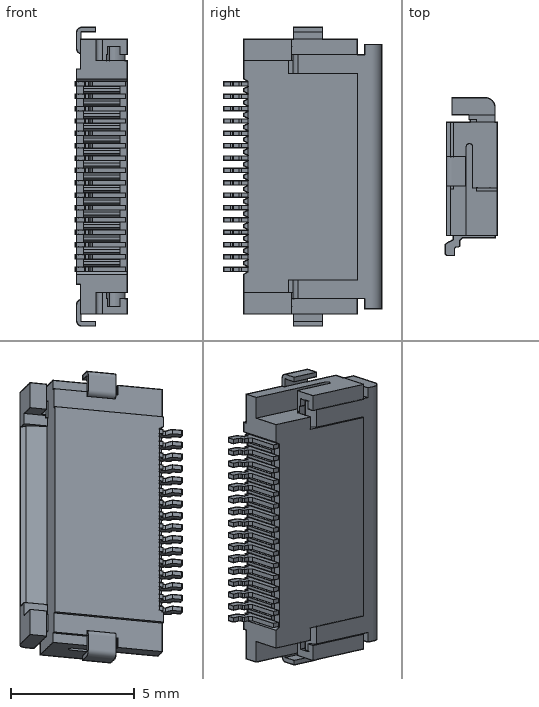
import cadquery as cq
import math


body_thick = 2.06
body_depth = 4.6
body_half = 5.57
shoulder_half = 4.35
shoulder_drop = 0.16
seat_x = 0.29
seat_half = 5.17
seat_start_y = 1.89

ledge_half = 4.7
slot_left = 0.8
slot_right = 1.06
slot_end_y = 3.73
notch_end_y = 1.94

tunnel_left = 1.21
tunnel_start_y = 1.82
tunnel_inner_half = 4.17
tunnel_outer_half = 4.94
upper_tunnel_left = 1.26
upper_tunnel_right = 1.75
upper_tunnel_half = 5.26

pin_count = 16
pin_row_span = 7.5
pin_pitch = pin_row_span / (pin_count - 1)
pin_thick = 0.18
pin_top_x = 1.98
pin_tip_x = -0.05
pin_tip_y = -0.81
pin_tip_bevel = 0.06
pin_face_y = -0.08
tail_left = 0.27
tail_right = 0.55
foot_right = 0.33
jog_left_start_y = -0.17
jog_left_mid_y = -0.27
jog_left_end_y = -0.35
jog_right_start_y = -0.41
jog_right_end_y = -0.53
jog_shelf_y = -0.46
tail_bevel = 0.11
foot_bevel = 0.05
pin_root_x = 0.08

comb_depth = 0.18
comb_half = (pin_row_span + pin_thick) / 2
comb_end_bevel = 0.11
comb_mouth_half = comb_half + comb_end_bevel
tooth_left = 0.29
tooth_right = 1.75
tooth_base = 0.29
tooth_tip = 0.12

clip_thick = 0.19
clip_bend = 0.23
clip_half = 6.05
clip_right = 0.77
clip_foot_half = 5.19
clip_front_y = 2.01
clip_width = 1.19

lever_right = 1.97
lever_back_y = 5.59
cap_left = 0.22
cap_front_y = 4.89
cap_inner_half = 4.28
cap_outer_half = 5.35
cap_round = 0.41
neck_left = 0.91
neck_front_y = 4.7
root_left = 0.95
root_outer_half = 4.88
bar_left = 1.03
window_low_z = -3.74
window_high_z = 3.85
window_left = 1.09
window_slope = 0.22
window_bevel_x = 0.24
window_bevel_y = 0.16
flank_start_y = 2.59
flank_end_x = 1.34
flank_end_y = 2.14
cheek_radius = 0.31
nose_left = 1.56
nose_left_y = 2.0
nose_right_y = 2.2
nose_radius = 0.46


def box(x0, x1, y0, y1, z0, z1):
    """Axis-aligned block between two corners."""
    return cq.Workplane("XY").box(x1 - x0, y1 - y0, z1 - z0, centered=False).translate((x0, y0, z0))


def both_ends(shape):
    """Shape joined with its mirror image at the other end."""
    return shape.union(shape.mirror("XY"))


def make_housing():
    core = box(0, body_thick, 0, body_depth, -shoulder_half, shoulder_half)
    ends = box(shoulder_drop, body_thick, 0, body_depth, -body_half, body_half)
    return core.union(ends)


def make_end_cuts():
    """Clip seat, side slot, open front corner and lever-arm tunnel of one end."""
    seat = box(shoulder_drop, seat_x, seat_start_y, body_depth, seat_half, body_half)
    slot_radius = (slot_right - slot_left) / 2
    slot_height = body_half - ledge_half
    slot_end = cq.Workplane("XY", origin=(slot_left + slot_radius, slot_end_y - slot_radius, ledge_half))
    slot = box(slot_left, slot_right, 0, slot_end_y - slot_radius, ledge_half, body_half)
    slot = slot.union(slot_end.circle(slot_radius).extrude(slot_height))
    notch = box(slot_right, body_thick, 0, notch_end_y, ledge_half, body_half)
    tunnel = box(tunnel_left, body_thick, tunnel_start_y, body_depth, tunnel_inner_half, tunnel_outer_half)
    upper_tunnel = box(
        upper_tunnel_left,
        upper_tunnel_right,
        tunnel_start_y,
        body_depth,
        tunnel_inner_half,
        upper_tunnel_half,
    )
    return seat.union(slot).union(notch).union(tunnel).union(upper_tunnel)


def make_comb_recess():
    """Shallow recess with bevelled ends along the front face."""
    outline = [
        (0, -comb_mouth_half),
        (0, comb_mouth_half),
        (comb_depth, comb_half),
        (comb_depth, -comb_half),
    ]
    return cq.Workplane("YZ").polyline(outline).close().extrude(body_thick)


def make_tooth(z):
    """Tapered tooth standing on the recess floor."""
    outline = [
        (comb_depth, z - tooth_base / 2),
        (0, z - tooth_tip / 2),
        (0, z + tooth_tip / 2),
        (comb_depth, z + tooth_base / 2),
    ]
    tooth = cq.Workplane("YZ").polyline(outline).close().extrude(tooth_right - tooth_left)
    return tooth.translate((tooth_left, 0, 0))


def make_pin(z):
    """Stamped terminal: a bar on the front face and a jogged solder tail."""
    return (
        cq.Workplane("XY", origin=(0, 0, z - pin_thick / 2))
        .moveTo(pin_top_x, comb_depth)
        .lineTo(pin_root_x, comb_depth)
        .lineTo(pin_root_x, 0)
        .lineTo(tail_left, 0)
        .lineTo(tail_left, jog_left_start_y)
        .lineTo(pin_tip_x + tail_bevel, jog_left_mid_y)
        .lineTo(pin_tip_x, jog_left_end_y)
        .lineTo(pin_tip_x, pin_tip_y + pin_tip_bevel)
        .lineTo(pin_tip_x + pin_tip_bevel, pin_tip_y)
        .lineTo(foot_right, pin_tip_y)
        .lineTo(foot_right, jog_right_end_y)
        .lineTo(foot_right + foot_bevel, jog_shelf_y)
        .lineTo(tail_right - foot_bevel, jog_shelf_y)
        .lineTo(tail_right, jog_right_start_y)
        .lineTo(tail_right, pin_face_y - tail_bevel)
        .lineTo(tail_right + tail_bevel, pin_face_y)
        .lineTo(pin_top_x, pin_face_y)
        .close()
        .extrude(pin_thick)
    )


def make_clip():
    """Bent strip whose foot curls into the housing."""
    curl_angle = math.acos((clip_bend - clip_thick) / clip_bend)
    curl_end_z = clip_foot_half - clip_bend * math.sin(curl_angle)
    curl_mid = (
        clip_bend * (1 - math.cos(curl_angle / 2)),
        clip_foot_half - clip_bend * math.sin(curl_angle / 2),
    )
    strip = (
        cq.Workplane("XZ")
        .moveTo(clip_right, clip_half)
        .lineTo(clip_bend, clip_half)
        .radiusArc((0, clip_half - clip_bend), -clip_bend)
        .lineTo(0, clip_foot_half)
        .threePointArc(curl_mid, (clip_thick, curl_end_z))
        .lineTo(clip_thick, clip_half - clip_thick)
        .lineTo(clip_right, clip_half - clip_thick)
        .close()
        .extrude(-clip_width)
    )
    return strip.translate((0, clip_front_y, 0))


def make_lever_end():
    """Cap, neck, root and arm at one end of the lever."""
    cap = box(cap_left, lever_right, cap_front_y, lever_back_y, cap_inner_half, cap_outer_half)
    cap = cap.edges("|Z and >X and >Y").fillet(cap_round)
    neck = box(neck_left, lever_right, neck_front_y, cap_front_y, cap_inner_half, tunnel_outer_half)
    root = box(root_left, tunnel_left, body_depth, neck_front_y, tunnel_inner_half, root_outer_half)
    return cap.union(neck).union(root).union(make_arm())


def make_arm():
    """Round-nosed arm in the tunnel, taller where the tunnel is taller."""
    arm = (
        cq.Workplane("XY", origin=(0, 0, tunnel_inner_half))
        .moveTo(tunnel_left, neck_front_y)
        .lineTo(tunnel_left, flank_start_y)
        .lineTo(flank_end_x, flank_end_y)
        .radiusArc((nose_left, nose_left_y), -cheek_radius)
        .radiusArc((lever_right, nose_right_y), -nose_radius)
        .lineTo(lever_right, neck_front_y)
        .close()
        .extrude(upper_tunnel_half - tunnel_inner_half)
    )
    low, high = tunnel_outer_half, upper_tunnel_half
    side_overhang = box(upper_tunnel_right, lever_right, 0, neck_front_y, low, high)
    back_overhang = box(tunnel_left, lever_right, body_depth, neck_front_y, low, high)
    return arm.cut(side_overhang).cut(back_overhang)


def make_lever_bar():
    """Long bar joining the lever ends, with a sloped and bevelled window in its -X face."""
    bar = box(bar_left, lever_right, body_depth, lever_back_y, -cap_inner_half, cap_inner_half)
    bar = bar.edges("|Z and >X and >Y").fillet(cap_round)
    window_outline = [
        (bar_left, body_depth),
        (window_left, body_depth),
        (window_left + window_slope, lever_back_y - window_bevel_y),
        (window_left + window_slope + window_bevel_x, lever_back_y),
        (bar_left, lever_back_y),
    ]
    window = cq.Workplane("XY", origin=(0, 0, window_low_z)).polyline(window_outline).close()
    return bar.cut(window.extrude(window_high_z - window_low_z))


result = make_housing().cut(both_ends(make_end_cuts())).cut(make_comb_recess())

first_pin_z = -pin_row_span / 2
for i in range(pin_count):
    result = result.union(make_pin(first_pin_z + i * pin_pitch))
for i in range(pin_count - 1):
    result = result.union(make_tooth(first_pin_z + (i + 0.5) * pin_pitch))

result = result.union(both_ends(make_clip()))
result = result.union(both_ends(make_lever_end())).union(make_lever_bar())